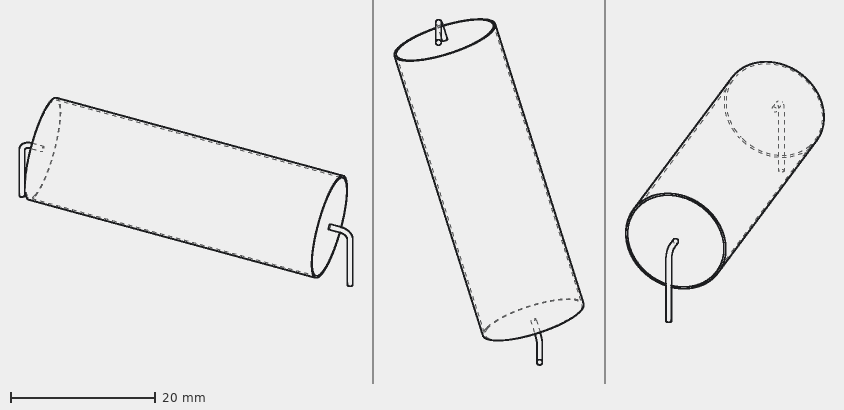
import cadquery as cq
import math

overall_length = 49.1
body_length = 42.25
sleeve_diameter = 14.7
core_diameter = 14.1
lead_diameter = 0.8
bend_radius = 1.4
overall_height = 18.3

body_end_x = body_length / 2
lead_x = (overall_length - lead_diameter) / 2
bend_start_x = lead_x - bend_radius
lead_tip_z = sleeve_diameter / 2 - overall_height


def body_end_plane():
    """Sketch plane at the -X end of the body, facing +X."""
    return cq.Workplane("YZ", origin=(-body_end_x, 0, 0))


def make_core():
    """Solid cylinder, flush with the sleeve at both ends."""
    return body_end_plane().circle(core_diameter / 2).extrude(body_length)


def make_sleeve():
    """Thin tube wrapped around the core."""
    return (
        body_end_plane()
        .circle(sleeve_diameter / 2)
        .circle(core_diameter / 2)
        .extrude(body_length)
    )


def make_lead(side):
    """Round wire from the core's end face, bent down; side is -1 or +1 along X."""
    bend_diagonal = bend_radius * math.sqrt(0.5)
    bend_middle = (side * (bend_start_x + bend_diagonal), bend_diagonal - bend_radius)
    centreline = (
        cq.Workplane("XZ")
        .moveTo(side * body_end_x, 0)
        .lineTo(side * bend_start_x, 0)
        .threePointArc(bend_middle, (side * lead_x, -bend_radius))
        .lineTo(side * lead_x, lead_tip_z)
    )
    return (
        cq.Workplane("YZ", origin=(side * body_end_x, 0, 0))
        .circle(lead_diameter / 2)
        .sweep(centreline)
    )


core = make_core()
sleeve = make_sleeve()
leads = [make_lead(side) for side in (-1, 1)]

result = cq.Compound.makeCompound([core.val(), sleeve.val(), *[lead.val() for lead in leads]])